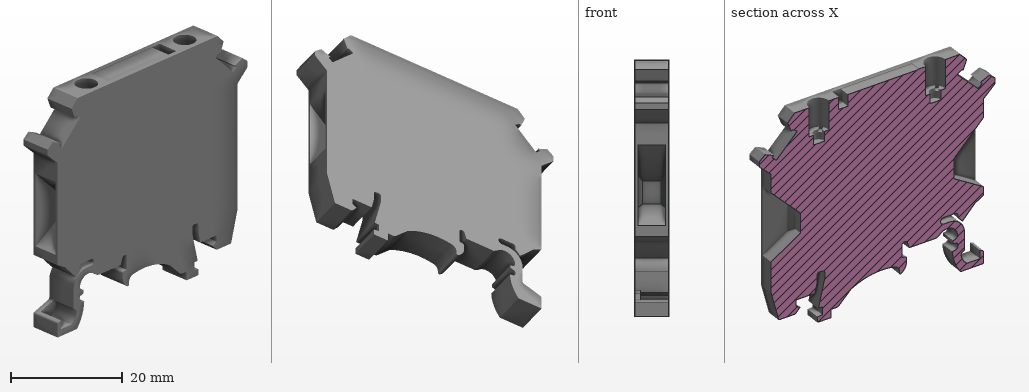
import cadquery as cq
import math

thickness = 6.1
mid_x = thickness / 2
side_y = 22.95
side_bottom_z = 9.75
top_z = 45.9

upper_half = [
    (side_y, 34.7), (25.5, 37.1), (25.5, 38.25), (24.15, 39.3), (22.25, 38.45), (22.6, 38.05),
    (21.8, 37.35), (17.3, 41.8), (18.25, 42.45), (18.55, 42.2), (19.4, 44.25), (17.85, top_z),
]

slot_top_z = 10.45
slot_round = 0.45
arm_center = (-15.55, 8.05)
arm_outer_radius = 3.3
arm_inner_center = (-15.1, 7.85)
arm_inner_radius = 2.2
arm_front_y = arm_center[0] - arm_outer_radius
arm_top_z = arm_center[1] + arm_outer_radius
foot_root_z = 4.25
foot_toe_z = 2.85
foot_root_fillet = 0.55
foot_toe_fillet = 0.45

cheek_thickness = 1.0
lip_thickness = 0.8
foot_floor_z = 1.4
foot_pocket_top_z = 5.1

screw_y = 12.55
screw_hole_diameter = 4.25
screw_hole_depth = 6.1
screw_core_diameter = 2.3
screw_core_depth = 2.05
driver_slot_width = 0.7
driver_slot_depth = 0.5
driver_slot_angle = -45.0

recess_width = 4.3
recess_y_min = -9.0
recess_step_y = 6.4
recess_y_max = 8.25
recess_depth = 0.1
recess_notch_depth = 2.55

entry_width = 5.0
entry_bottom_z = 16.25
entry_top_z = 30.75
throat_width = 3.25
throat_bottom_z = 20.15
throat_top_z = 24.3
entry_depth = 6.4
entry_straight_depth = 5.3


def arc_point(center, radius, degrees):
    """Point on a circle in the YZ plane, measured from +Y towards +Z."""
    angle = math.radians(degrees)
    return (center[0] + radius * math.cos(angle), center[1] + radius * math.sin(angle))


def make_body():
    """Extrude the outline, drawn from the +Y side over the top and back along the underside."""
    mirrored_half = [(-y, z) for y, z in reversed(upper_half)]
    outline = cq.Workplane("YZ").moveTo(side_y, side_bottom_z)
    for y, z in upper_half + mirrored_half:
        outline = outline.lineTo(y, z)
    outline = (
        outline.lineTo(-side_y, 14.4).lineTo(-21.1, 13.35).lineTo(-18.4, 10.5).lineTo(-17.4, 11.6)
        .lineTo(-17.4, 12.15).threePointArc((-17.25, 12.5), (-16.9, 12.65))
        .lineTo(-14.4, 12.65).threePointArc((-13.7, 12.05), (-14.4, arm_top_z))
    )
    outline = (
        outline.lineTo(arm_center[0], arm_top_z)
        .threePointArc(arc_point(arm_center, arm_outer_radius, 135), (arm_front_y, arm_center[1]))
        .lineTo(arm_front_y, foot_root_z).lineTo(-side_y, foot_toe_z).lineTo(-side_y, 0)
        .lineTo(-18.0, 0).threePointArc((-16.7, 2.35), (-16.15, 4.9))
    )
    outline = (
        outline.lineTo(-16.8, 5.0).threePointArc((-17.2, 5.2), (-17.35, 5.6)).lineTo(-17.3, 6.2)
        .lineTo(-16.3, 6.55).lineTo(-16.3, 7.2).lineTo(-16.75, 7.25)
        .threePointArc((-17.1, 7.45), arc_point(arm_inner_center, arm_inner_radius, 180))
        .threePointArc(arc_point(arm_inner_center, arm_inner_radius, 90),
                       arc_point(arm_inner_center, arm_inner_radius, 45))
    )
    outline = (
        outline.lineTo(-12.75, 8.85).lineTo(-6.85, 8.85).lineTo(-6.5, 10.1)
        .threePointArc((-6.3, 10.35), (-6.05, slot_top_z)).lineTo(-5.8, slot_top_z)
        .threePointArc((-5.5, 10.3), (-5.4, 10.0)).lineTo(-5.4, 7.45).lineTo(-5.95, 7.35)
        .threePointArc((-6.25, 7.2), (-6.4, 6.9)).lineTo(-6.4, 6.0)
        .threePointArc((-6.0, 4.9), (-5.2, 4.1)).threePointArc((-4.9, 4.05), (-4.75, 4.35))
        .lineTo(-4.75, 4.75).threePointArc((-4.45, 5.5), (-3.6, 5.95))
    )
    outline = (
        outline.threePointArc((1.1, 6.05), (5.6, 4.55)).lineTo(8.0, 2.2)
        .threePointArc((8.45, 1.85), (9.0, 1.75)).lineTo(9.95, 1.75).lineTo(9.95, 0)
        .lineTo(12.9, 0).lineTo(12.9, 1.2).lineTo(11.9, 1.35).lineTo(11.9, 2.9).lineTo(12.75, 2.9)
    )
    outline = (
        outline.lineTo(11.35, 8.85).lineTo(11.35, slot_top_z - slot_round)
        .threePointArc((11.5, 10.3), (11.35 + slot_round, slot_top_z))
        .lineTo(12.9 - slot_round, slot_top_z)
        .threePointArc((12.8, 10.3), (12.9, slot_top_z - slot_round)).lineTo(12.9, 8.55)
        .lineTo(13.4, 6.3).lineTo(17.5, 6.3).lineTo(17.5, 5.1).lineTo(16.65, 4.55)
        .lineTo(17.65, 3.4).lineTo(21.25, 3.4).close()
    )
    return outline.extrude(thickness)


def round_foot(body):
    """Round the concave corner under the arm and the convex corner at the toe."""
    root = cq.selectors.NearestToPointSelector((mid_x, arm_front_y, foot_root_z))
    toe = cq.selectors.NearestToPointSelector((mid_x, -side_y, foot_toe_z))
    return body.edges(root).fillet(foot_root_fillet).edges(toe).fillet(foot_toe_fillet)


def foot_pocket():
    """Hollow between the lip and the arm, slightly undercutting the arm."""
    lip_back_y = -side_y + lip_thickness
    return (
        cq.Workplane("YZ", origin=(cheek_thickness, 0, 0))
        .moveTo(arm_front_y, foot_pocket_top_z).lineTo(arm_front_y, 4.35).lineTo(-18.15, 3.75)
        .threePointArc((-18.45, 2.45), (-19.4, foot_floor_z))
        .lineTo(lip_back_y, foot_floor_z).lineTo(lip_back_y, foot_pocket_top_z).close()
        .extrude(thickness - cheek_thickness)
    )


def screw_hole(y):
    """Screw shaft with the screw head at its floor: a driver slot crossing a round core."""
    floor_z = top_z - screw_hole_depth
    hole = (
        cq.Workplane("XY", origin=(mid_x, y, floor_z))
        .circle(screw_hole_diameter / 2).extrude(screw_hole_depth)
    )
    core = (
        cq.Workplane("XY", origin=(mid_x, y, floor_z - screw_core_depth))
        .circle(screw_core_diameter / 2).extrude(screw_core_depth)
    )
    driver_slot = (
        cq.Workplane("XY", origin=(mid_x, y, floor_z - driver_slot_depth))
        .transformed(rotate=(0, 0, driver_slot_angle)).rect(screw_hole_diameter, driver_slot_width)
        .extrude(driver_slot_depth)
        .intersect(hole.translate((0, 0, -driver_slot_depth)))
    )
    return hole.union(core).union(driver_slot)


def recess_block(y_min, y_max, depth):
    block = cq.Workplane("XY").box(recess_width, y_max - y_min, depth, centered=(True, False, False))
    return block.translate((mid_x, y_min, top_z - depth))


def wire_entry():
    """Funnel in the -Y end: sloping roof and floor, side walls that taper only near the throat."""
    throat_y = -side_y + entry_depth
    taper_y = -side_y + entry_straight_depth
    half_width = entry_width / 2
    half_throat = throat_width / 2
    side_profile = (
        cq.Workplane("YZ")
        .polyline([(-side_y, entry_bottom_z), (throat_y, throat_bottom_z),
                   (throat_y, throat_top_z), (-side_y, entry_top_z)]).close()
        .extrude(thickness)
    )
    plan_profile = (
        cq.Workplane("XY")
        .polyline([(mid_x - half_width, -side_y), (mid_x + half_width, -side_y),
                   (mid_x + half_width, taper_y), (mid_x + half_throat, throat_y),
                   (mid_x - half_throat, throat_y), (mid_x - half_width, taper_y)]).close()
        .extrude(top_z)
    )
    return side_profile.intersect(plan_profile)


front_entry = wire_entry()
result = round_foot(make_body()).cut(foot_pocket())
for y in (-screw_y, screw_y):
    result = result.cut(screw_hole(y))
result = result.cut(recess_block(recess_y_min, recess_y_max, recess_depth))
result = result.cut(recess_block(recess_step_y, recess_y_max, recess_notch_depth))
result = result.cut(front_entry).cut(front_entry.mirror("XZ"))